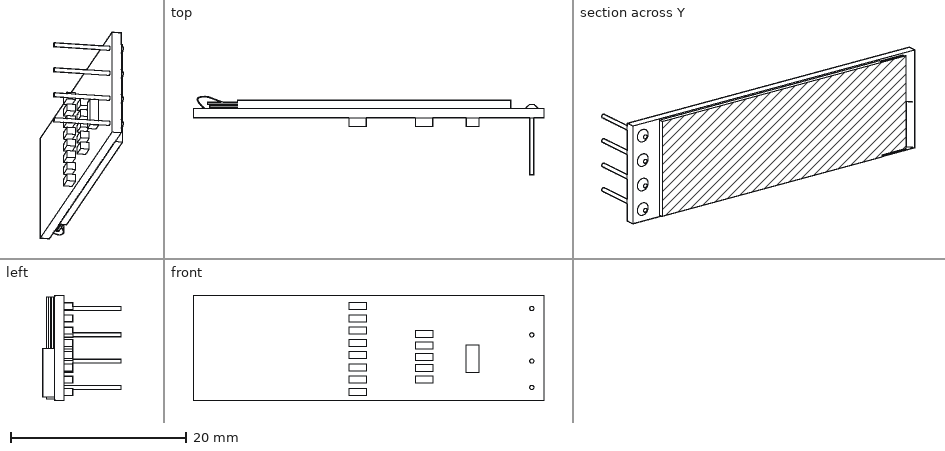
import cadquery as cq

BOARD_LENGTH = 40.0
BOARD_HEIGHT = 12.0
BOARD_THICKNESS = 1.1
MID_HEIGHT = BOARD_HEIGHT / 2

DISPLAY_LEFT = 5.0
DISPLAY_LENGTH = 31.2
DISPLAY_THICKNESS = 0.95
DISPLAY_MARGIN = 0.15

INNER_SHEET_LEFT = 1.85
OUTER_SHEET_LEFT = 1.6
INNER_SHEET_GAP = 0.1
OUTER_SHEET_GAP = 0.5
SHEET_THICKNESS = 0.25
SHEET_OVERLAP = 0.4

RIBBON_BOTTOM = 0.4
RIBBON_TOP = 5.95
RIBBON_THICKNESS = 0.1
RIBBON_SINK = 0.05

COMPONENT_DEPTH = 1.0
CHIP_LENGTH = 2.0
CHIP_HEIGHT = 0.8
LONG_ROW_LEFT = 17.7
LONG_ROW_MIDDLE = 5.9
LONG_ROW_COUNT = 8
LONG_ROW_SPAN = 9.8
SHORT_ROW_LEFT = 25.3
SHORT_ROW_MIDDLE = 5.0
SHORT_ROW_COUNT = 5
SHORT_ROW_SPAN = 5.2
BLOCK_LEFT = 31.1
BLOCK_LENGTH = 1.5
BLOCK_HEIGHT = 3.1
BLOCK_MIDDLE = 4.75

PIN_COUNT = 4
PIN_SPAN = 9.0
PIN_X = 38.6
PIN_DIAMETER = 0.5
PIN_REACH = 6.5
SOLDER_DIAMETER = 1.5
SOLDER_HEIGHT = 0.5


def box(left, back, bottom, length, depth, height):
    """Axis-aligned box given by its lowest corner and its X, Y and Z sizes."""
    return cq.Workplane("XY").box(length, depth, height, centered=False).translate((left, back, bottom))


def evenly_spaced(middle, span, count):
    """Centres of `count` items in a row of length `span` about `middle`."""
    return [middle + span * (i / (count - 1) - 0.5) for i in range(count)]


def display():
    height = BOARD_HEIGHT - 2 * DISPLAY_MARGIN
    return box(DISPLAY_LEFT, BOARD_THICKNESS, DISPLAY_MARGIN, DISPLAY_LENGTH, DISPLAY_THICKNESS, height)


def sheet(left, gap):
    length = DISPLAY_LEFT + SHEET_OVERLAP - left
    height = BOARD_HEIGHT - DISPLAY_MARGIN - RIBBON_BOTTOM
    return box(left, BOARD_THICKNESS + gap, RIBBON_BOTTOM, length, SHEET_THICKNESS, height)


def ribbon():
    sheet_face = OUTER_SHEET_GAP + SHEET_THICKNESS
    bend = [
        (3.5, sheet_face - RIBBON_SINK),
        (2.25, 1.1),
        (0.9, 1.3),
        (0.5, 1.1),
        (0.7, 0.6),
        (1.3, -RIBBON_SINK),
    ]
    points = [(x, BOARD_THICKNESS + rise) for x, rise in bend]
    path = cq.Workplane("XY", origin=(0, 0, RIBBON_BOTTOM)).spline(points)
    height = RIBBON_TOP - RIBBON_BOTTOM
    start_tangent = path.val().tangentAt(0)
    start = cq.Plane(origin=(*points[0], RIBBON_BOTTOM), xDir=(0, 0, 1), normal=start_tangent)
    return cq.Workplane(start).center(height / 2, 0).rect(height, RIBBON_THICKNESS).sweep(path)


def component(left, middle, length, height):
    return box(left, -COMPONENT_DEPTH, middle - height / 2, length, COMPONENT_DEPTH, height)


def header_pin(z):
    """Round pin through the board with a solder cone around its +Y end."""
    solder_top = BOARD_THICKNESS + SOLDER_HEIGHT
    return (
        cq.Workplane("YZ")
        .moveTo(-PIN_REACH, 0)
        .lineTo(-PIN_REACH, PIN_DIAMETER / 2)
        .lineTo(BOARD_THICKNESS, PIN_DIAMETER / 2)
        .lineTo(BOARD_THICKNESS, SOLDER_DIAMETER / 2)
        .lineTo(solder_top, PIN_DIAMETER / 2)
        .lineTo(solder_top, 0)
        .close()
        .revolve(360, (0, 0, 0), (1, 0, 0))
        .translate((PIN_X, 0, z))
    )


result = box(0, 0, 0, BOARD_LENGTH, BOARD_THICKNESS, BOARD_HEIGHT)
result = result.union(display())
result = result.union(sheet(INNER_SHEET_LEFT, INNER_SHEET_GAP))
result = result.union(sheet(OUTER_SHEET_LEFT, OUTER_SHEET_GAP))
result = result.union(ribbon())
for z in evenly_spaced(LONG_ROW_MIDDLE, LONG_ROW_SPAN, LONG_ROW_COUNT):
    result = result.union(component(LONG_ROW_LEFT, z, CHIP_LENGTH, CHIP_HEIGHT))
for z in evenly_spaced(SHORT_ROW_MIDDLE, SHORT_ROW_SPAN, SHORT_ROW_COUNT):
    result = result.union(component(SHORT_ROW_LEFT, z, CHIP_LENGTH, CHIP_HEIGHT))
result = result.union(component(BLOCK_LEFT, BLOCK_MIDDLE, BLOCK_LENGTH, BLOCK_HEIGHT))
for z in evenly_spaced(MID_HEIGHT, PIN_SPAN, PIN_COUNT):
    result = result.union(header_pin(z))